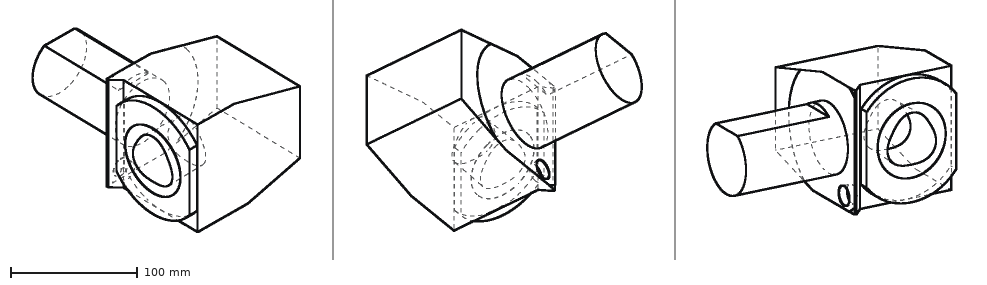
import cadquery as cq
import math


shank_diameter = 60.0
shank_length = 94.1
flat_height = 24.8
flat_length = 84.5

total_length = 189.0
head_half_height = 52.5
head_front_y = -31.2
head_back_y = 82.0
back_top_z = 33.0
back_bottom_z = -37.0
taper_angle = math.radians(15)

lip_tip_y = -39.7
lip_tip_width = 2.0
lip_root_width = lip_tip_width + (head_front_y - lip_tip_y)

contact_radius = 61.5
contact_relief = 0.2

boss_x = 147.0
boss_radius = 52.4
boss_width = 82.8
boss_front_y = lip_tip_y
ring_diameter = 63.0
ring_height = 0.4
ring_front_y = boss_front_y - ring_height

socket_mean_radius = 22.0
socket_lobe_height = 1.7
socket_depth = 37.8
socket_narrowing = 1.0
lobe_count = 3
socket_point_count = 48

hole_y = -23.8
hole_z = -41.5
hole_diameter = 16.0
hole_depth = 7.5
hole_chamfer = 0.4


def front_plane(y):
    """Sketch plane facing -Y, centred on the boss axis."""
    return cq.Workplane("XZ", origin=(boss_x, y, 0))


def make_shank():
    shank = cq.Workplane("YZ").circle(shank_diameter / 2).extrude(shank_length)
    above_flat = cq.Workplane("XY").box(
        flat_length, shank_diameter, shank_diameter, centered=(False, True, False)
    ).translate((0, 0, flat_height))
    return shank.cut(above_flat)


def make_head():
    slope = math.tan(taper_angle)
    top_break_y = head_back_y - (head_half_height - back_top_z) / slope
    bottom_break_y = head_back_y - (head_half_height + back_bottom_z) / slope
    side_outline = [
        (lip_tip_y, -head_half_height),
        (bottom_break_y, -head_half_height),
        (head_back_y, back_bottom_z),
        (head_back_y, back_top_z),
        (top_break_y, head_half_height),
        (lip_tip_y, head_half_height),
    ]
    head = (
        cq.Workplane("YZ", origin=(shank_length, 0, 0))
        .polyline(side_outline).close()
        .extrude(total_length - shank_length)
    )
    front_waste = [
        (shank_length + lip_tip_width, lip_tip_y),
        (shank_length + lip_root_width, head_front_y),
        (total_length, head_front_y),
        (total_length, lip_tip_y),
    ]
    waste = (
        cq.Workplane("XY").polyline(front_waste).close()
        .extrude(head_half_height, both=True)
    )
    return head.cut(waste)


def make_contact_relief():
    """Shallow layer outside the round contact face."""
    reach = 2 * contact_radius
    return (
        cq.Workplane("YZ", origin=(shank_length, 0, 0))
        .circle(reach).circle(contact_radius)
        .extrude(contact_relief)
    )


def make_boss():
    boss_height = head_front_y - boss_front_y
    disc = front_plane(head_front_y).circle(boss_radius).extrude(boss_height)
    between_flats = (
        front_plane(head_front_y).rect(boss_width, 2 * boss_radius).extrude(boss_height)
    )
    ring = front_plane(boss_front_y).circle(ring_diameter / 2).extrude(ring_height)
    return disc.intersect(between_flats).union(ring)


def socket_outline(mean_radius):
    """Closed three-lobed outline, with one lobe pointing up."""
    points = []
    for i in range(socket_point_count):
        angle = 2 * math.pi * i / socket_point_count
        radius = mean_radius + socket_lobe_height * math.cos(lobe_count * angle)
        points.append((radius * math.sin(angle), radius * math.cos(angle)))
    return points


def make_socket():
    floor_radius = socket_mean_radius - socket_narrowing
    return (
        front_plane(ring_front_y)
        .spline(socket_outline(socket_mean_radius), periodic=True).close()
        .workplane(offset=-socket_depth)
        .spline(socket_outline(floor_radius), periodic=True).close()
        .loft(ruled=True)
    )


def make_blind_hole():
    start = cq.Workplane("YZ", origin=(shank_length, hole_y, hole_z))
    bore = start.circle(hole_diameter / 2).extrude(hole_depth)
    countersink = cq.Solid.makeCone(
        hole_diameter / 2 + hole_chamfer,
        hole_diameter / 2,
        hole_chamfer,
        cq.Vector(shank_length, hole_y, hole_z),
        cq.Vector(1, 0, 0),
    )
    return bore.union(cq.Workplane(countersink))


head = make_head().cut(make_contact_relief())
result = (
    head.union(make_shank())
    .union(make_boss())
    .cut(make_socket())
    .cut(make_blind_hole())
)